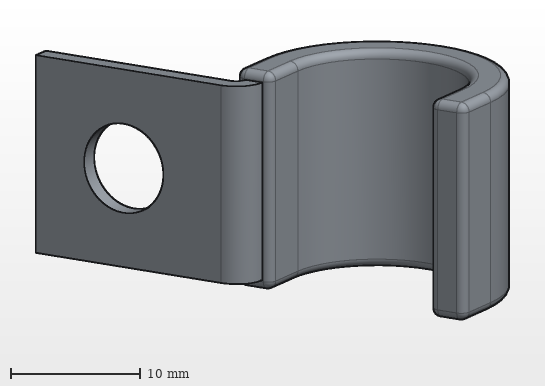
import cadquery as cq

overall_x = 37.22
overall_y = 16.59

strap_thickness = 1.524
strap_width = 15.875
bend_inner_radius = 0.794
bend_outer_radius = bend_inner_radius + strap_thickness
hole_diameter = 7.144
hole_from_end = strap_width / 2

cushion_thickness = 0.794
cushion_width = strap_width + 2 * cushion_thickness
wall = strap_thickness + 2 * cushion_thickness
inner_radius = 14.288 / 2
outer_radius = inner_radius + wall
free_leg_length = 3.92
edge_radius = 0.7

strap_outer_x = -outer_radius + cushion_thickness
strap_inner_x = strap_outer_x + strap_thickness
flange_end_x = outer_radius - overall_x
flange_front_y = outer_radius - overall_y
flange_back_y = flange_front_y + strap_thickness
bend_center_x = strap_outer_x - bend_inner_radius
bend_center_y = flange_back_y + bend_inner_radius
strap_leg_length = -bend_center_y
strap_top_y = -strap_leg_length / 2


def make_cushion():
    """Half ring with a strap-side leg and a slightly shorter free leg, every edge rounded."""
    profile = (
        cq.Workplane("XY")
        .moveTo(-outer_radius, -strap_leg_length)
        .lineTo(-outer_radius, 0)
        .threePointArc((0, outer_radius), (outer_radius, 0))
        .lineTo(outer_radius, -free_leg_length)
        .lineTo(inner_radius, -free_leg_length)
        .lineTo(inner_radius, 0)
        .threePointArc((0, inner_radius), (-inner_radius, 0))
        .lineTo(-inner_radius, -strap_leg_length)
        .close()
    )
    blank = profile.extrude(cushion_width / 2, both=True)
    return blank.faces("<Z or >Z or -Y").edges().fillet(edge_radius)


def make_strap():
    """Flat flange bent up into the left cushion leg."""
    profile = (
        cq.Workplane("XY")
        .moveTo(flange_end_x, flange_front_y)
        .lineTo(bend_center_x, flange_front_y)
        .radiusArc((strap_inner_x, bend_center_y), -bend_outer_radius)
        .lineTo(strap_inner_x, strap_top_y)
        .lineTo(strap_outer_x, strap_top_y)
        .lineTo(strap_outer_x, bend_center_y)
        .radiusArc((bend_center_x, flange_back_y), bend_inner_radius)
        .lineTo(flange_end_x, flange_back_y)
        .close()
    )
    return profile.extrude(strap_width / 2, both=True)


def make_mounting_hole():
    """Round hole through the flange, along Y."""
    hole_x = flange_end_x + hole_from_end
    return (
        cq.Workplane("XZ", origin=(hole_x, flange_back_y, 0))
        .circle(hole_diameter / 2)
        .extrude(strap_thickness)
    )


result = make_cushion().union(make_strap()).cut(make_mounting_hole())